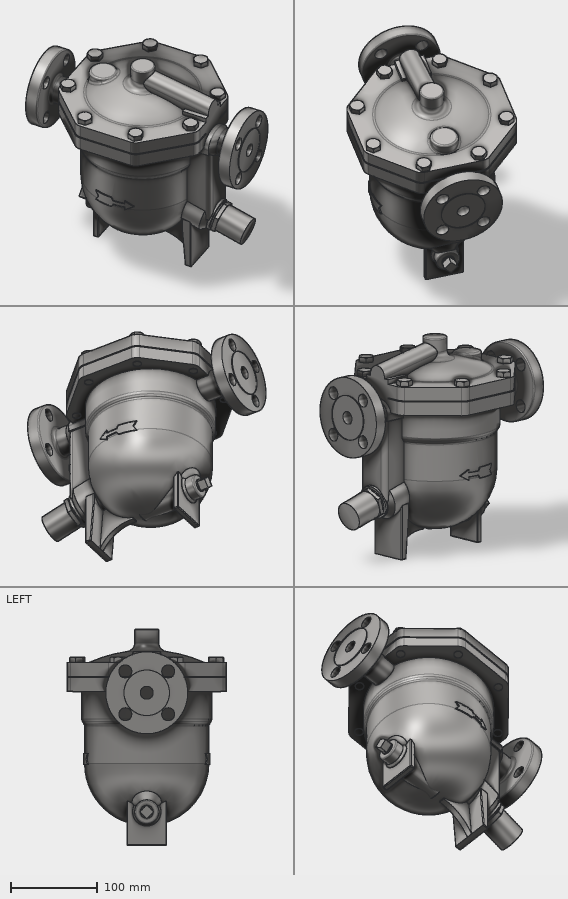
import cadquery as cq
import math

bowl_radius = 72.2
bowl_center_z = 95.0
rim_radius = 75.7
rim_bottom_z = 146.8
rim_bevel_top_radius = 74.6
rim_bevel_top_z = 143.5
rim_bevel_bottom_radius = 73.3
rim_bevel_bottom_z = 141.0
rim_step_z = 138.7

joint_bottom_z = 178.7
joint_top_z = 212.2
joint_apothem = 185.0 / 2
joint_corner_radius = 12.8
joint_left_x = -90.2
gasket_thickness = 1.0
gasket_inset = 0.5

bolt_count = 8
bolt_circle_radius = 87.2
bolt_head_flats = 16.0
bolt_head_height = 6.3
bolt_head_chamfer = 1.0
bolt_head_turn = -7.5
bolt_shank_diameter = 10.0
bolt_shank_projection = 0.8

dome_sphere_radius = 163.5
dome_apex_z = 226.6
dome_edge_radius = 66.2
dome_buried_radius = 73.5
dome_foot_radius = 68.6

top_z = 251.0
neck_radius = 28.0 / 2
neck_flare_radius = 23.0
neck_flare_top_z = 235.0
neck_edge_round = 1.4

boss_x = -51.8
boss_radius = 33.0 / 2
boss_top_z = 225.0
boss_edge_round = 2.5
boss_flare = 3.3
boss_edge_margin = 1.4

vent_radius = 12.0
vent_angle = 10.0
vent_end_x = joint_apothem
vent_end_axis_z = 219.0
vent_wall_depth = 11.0
vent_length = 1.2 * vent_end_x
vent_pad_start_x = 61.3
vent_pad_half_width = 17.7
vent_pad_top_z = 217.6

port_z = 177.0
pipe_radius = 33.0 / 2
pipe_buried_x = 54.5
pipe_flange_fillet = 3.8
flange_radius = 95.0 / 2
flange_thickness = 15.3
flange_edge_round = 1.4
raised_face_radius = 26.5
raised_face_height = 1.0
flange_hole_count = 4
flange_bolt_circle_radius = 35.1
flange_hole_diameter = 15.0
inlet_face_x = -130.0
outlet_face_x = 140.3
bore_diameter = 15.0
bore_end_x = 90.0

duct_half_width = 23.0
duct_start_x = 40.9
duct_end_x = 98.3
duct_bottom_z = 169.5
duct_transition_length = 7.5
column_half_width = 20.7
column_end_x = 100.2
column_bottom_z = 73.5
column_edge_round = 6.0

branch_angle = 15.0
branch_pipe_radius = 34.0 / 2
branch_end_center_z = 58.5
branch_max_x = 272.5 + inlet_face_x
branch_barrel_radius = 25.3
branch_length = 109.0
branch_barrel_setback = 51.0
branch_cone_setback = 44.5
branch_cone_radius = 19.0
branch_ring_setback = 40.9
branch_ring_radius = 20.2
branch_nut_setback = 38.7
branch_nut_length = 5.2
branch_nut_flats = 34.5

drain_z = 39.0
drain_end_x = -67.8
drain_boss_radius = 28.0 / 2
drain_boss_end_x = -56.7
drain_pipe_radius = 33.0 / 2
drain_pipe_start_x = -53.7
drain_pipe_end_x = 11.0
drain_end_round = 1.4
drain_flare_elevation = 40.0
drain_flare_base_radius = 17.2
drain_flare_tip_radius = 8.7
drain_flare_base_depth = 2.2
drain_flare_height = 9.0
plug_neck_diameter = 15.0
plug_neck_end_x = -69.5
plug_end_x = -79.5
plug_square_side = 11.5

foot_half_width = 46.3 / 2
foot_edge_chamfer = 1.0
left_foot_x = -53.0
left_foot_thickness = 7.0
left_foot_top_z = 60.0
right_foot_inner_x = 67.5
right_foot_outer_x = 75.2
right_foot_shoulder_x = 63.2
right_foot_shoulder_z = 53.7
right_foot_top_z = 66.7
web_thickness = 6.8
web_start_x = 21.8
web_start_z = 24.5
web_middle_x = 48.5
web_middle_z = 19.0

arrow_z = 100.2
arrow_relief_radius = 73.5
arrow_half_length = 25.0
arrow_half_height = 6.5
arrow_shaft_half_height = 2.6
arrow_tail_notch = 4.0
arrow_tail_end_x = -2.5
arrow_shaft_start_x = -0.3
arrow_head_start_x = 14.2


def cylinder_x(radius, start_x, end_x, z):
    """Cylinder along X at Y = 0."""
    plane = cq.Plane(origin=(start_x, 0, z), xDir=(0, 1, 0), normal=(1, 0, 0))
    return cq.Workplane(plane).circle(radius).extrude(end_x - start_x)


def box_between(x_range, y_half, z_range):
    """Box symmetric about Y = 0."""
    size_x = x_range[1] - x_range[0]
    size_z = z_range[1] - z_range[0]
    box = cq.Workplane("XY").box(size_x, 2 * y_half, size_z, centered=(False, True, False))
    return box.translate((x_range[0], 0, z_range[0]))


def make_bowl():
    """Solid of revolution: hemispherical bottom, straight wall and thicker rim."""
    diagonal = bowl_radius * math.sqrt(0.5)
    return (
        cq.Workplane("YZ")
        .moveTo(0, bowl_center_z - bowl_radius)
        .threePointArc((diagonal, bowl_center_z - diagonal), (bowl_radius, bowl_center_z))
        .lineTo(bowl_radius, rim_step_z)
        .tangentArcPoint((rim_bevel_bottom_radius, rim_bevel_bottom_z), relative=False)
        .lineTo(rim_bevel_top_radius, rim_bevel_top_z)
        .tangentArcPoint((rim_radius, rim_bottom_z), relative=False)
        .lineTo(rim_radius, joint_bottom_z)
        .lineTo(0, joint_bottom_z)
        .close()
        .revolve(360, (0, 0, 0), (0, 1, 0))
    )


def octagon_plate(inset, z_range):
    """Rounded octagon slab, trimmed on the inlet side."""
    apothem = joint_apothem - inset
    height = z_range[1] - z_range[0]
    plate = (
        cq.Workplane("XY")
        .polygon(8, 2 * apothem / math.cos(math.pi / 8))
        .extrude(height)
        .rotate((0, 0, 0), (0, 0, 1), 22.5)
        .translate((0, 0, z_range[0]))
    )
    plate = plate.intersect(box_between((joint_left_x + inset, apothem), apothem, z_range))
    return plate.edges("|Z").fillet(joint_corner_radius)


def make_joint():
    """Body and cover flanges with the recessed gasket between them."""
    middle_z = (joint_bottom_z + joint_top_z) / 2
    gasket_bottom_z = middle_z - gasket_thickness / 2
    gasket_top_z = middle_z + gasket_thickness / 2
    lower = octagon_plate(0, (joint_bottom_z, gasket_bottom_z))
    gasket = octagon_plate(gasket_inset, (gasket_bottom_z, gasket_top_z))
    upper = octagon_plate(0, (gasket_top_z, joint_top_z))
    return lower.union(gasket).union(upper)


def make_bolts():
    """Ring of hexagon bolts whose shank ends show below the joint."""
    corner_diameter = bolt_head_flats / math.cos(math.pi / 6)
    head = (
        cq.Workplane("XY")
        .polygon(6, corner_diameter)
        .extrude(bolt_head_height)
        .rotate((0, 0, 0), (0, 0, 1), bolt_head_turn)
    )
    head_limit = (
        cq.Workplane("XY")
        .circle(corner_diameter / 2)
        .extrude(bolt_head_height)
        .faces(">Z")
        .chamfer(bolt_head_chamfer)
    )
    shank_length = joint_top_z - joint_bottom_z + bolt_shank_projection
    shank = cq.Workplane("XY").circle(bolt_shank_diameter / 2).extrude(-shank_length)
    bolt = head.intersect(head_limit).union(shank).translate((bolt_circle_radius, 0, joint_top_z))
    bolts = cq.Workplane("XY")
    for index in range(bolt_count):
        angle = (index + 0.5) * 360 / bolt_count
        bolts = bolts.add(bolt.rotate((0, 0, 0), (0, 0, 1), angle))
    return bolts.combine()


def dome_height(radius):
    """Z of the spherical dome at a distance from the axis."""
    return dome_apex_z - dome_sphere_radius + math.sqrt(dome_sphere_radius**2 - radius**2)


def make_dome():
    """Cover dome with its flared central neck and the blended round boss beside it."""
    middle_radius = (neck_flare_radius + dome_buried_radius) / 2
    dome = (
        cq.Workplane("YZ")
        .moveTo(0, joint_bottom_z)
        .lineTo(0, top_z)
        .lineTo(neck_radius, top_z)
        .lineTo(neck_radius, neck_flare_top_z)
        .tangentArcPoint((neck_flare_radius, dome_height(neck_flare_radius)), relative=False)
        .threePointArc(
            (middle_radius, dome_height(middle_radius)),
            (dome_buried_radius, dome_height(dome_buried_radius)),
        )
        .lineTo(dome_buried_radius, joint_bottom_z)
        .close()
        .revolve(360, (0, 0, 0), (0, 1, 0))
    )
    dome = dome.faces(">Z").edges().fillet(neck_edge_round)
    boss = (
        cq.Workplane("XY")
        .circle(boss_radius)
        .extrude(boss_top_z - joint_bottom_z)
        .faces(">Z")
        .edges()
        .fillet(boss_edge_round)
        .translate((boss_x, 0, joint_bottom_z))
    )
    dome = dome.union(boss)
    reach = boss_radius + boss_edge_margin
    boss_foot = cq.selectors.BoxSelector(
        (boss_x - reach, -reach, joint_bottom_z + boss_edge_margin),
        (boss_x + reach, reach, boss_top_z - boss_edge_round),
    )
    return dome.edges(boss_foot).fillet(boss_flare)


def make_dome_edge():
    """Sloped ring blending the dome into the flat top of the cover flange."""
    return (
        cq.Workplane("YZ")
        .moveTo(dome_edge_radius, joint_bottom_z)
        .lineTo(dome_edge_radius, dome_height(dome_edge_radius))
        .lineTo(dome_foot_radius, joint_top_z)
        .lineTo(dome_foot_radius, joint_bottom_z)
        .close()
        .revolve(360, (0, 0, 0), (0, 1, 0))
    )


def make_vent():
    """Inclined round-topped passage from the neck to the outlet side, on a flat pad."""
    slope = math.radians(vent_angle)
    origin = (0, 0, vent_end_axis_z + vent_end_x * math.tan(slope))
    section = cq.Plane(origin=origin, xDir=(0, 1, 0), normal=(math.cos(slope), 0, -math.sin(slope)))
    passage = (
        cq.Workplane(section)
        .moveTo(-vent_radius, 0)
        .threePointArc((0, vent_radius), (vent_radius, 0))
        .lineTo(vent_radius, -vent_wall_depth)
        .lineTo(-vent_radius, -vent_wall_depth)
        .close()
        .extrude(vent_length)
    )
    passage = passage.intersect(box_between((0, vent_end_x), joint_apothem, (joint_bottom_z, top_z)))
    pad = box_between((vent_pad_start_x, vent_end_x), vent_pad_half_width, (joint_bottom_z, vent_pad_top_z))
    return passage.union(pad)


def make_flanged_pipe(face_x, inner_x):
    """Pipe along X ending in a raised-face flange at face_x."""
    outward = math.copysign(1, face_x)
    flange_front = face_x - outward * raised_face_height
    flange_back = flange_front - outward * flange_thickness
    flange = cylinder_x(flange_radius, flange_back, flange_front, port_z)
    back_side = "<X" if outward > 0 else ">X"
    flange = flange.faces(back_side).edges().fillet(flange_edge_round)
    port = flange.union(cylinder_x(pipe_radius, inner_x, flange_back, port_z))
    neck_edges = cq.selectors.BoxSelector(
        (flange_back - 0.3, -flange_radius / 2, port_z - flange_radius / 2),
        (flange_back + 0.3, flange_radius / 2, port_z + flange_radius / 2),
        boundingbox=True,
    )
    port = port.edges(neck_edges).fillet(pipe_flange_fillet)
    return port.union(cylinder_x(raised_face_radius, flange_front, face_x, port_z))


def cut_port_holes(part, face_x):
    """Flow bore and bolt holes of one flange."""
    outward = math.copysign(1, face_x)
    part = part.cut(cylinder_x(bore_diameter / 2, outward * bore_end_x, face_x, port_z))
    hole_end_x = face_x - outward * (raised_face_height + flange_thickness)
    hole = cylinder_x(flange_hole_diameter / 2, hole_end_x, face_x, port_z + flange_bolt_circle_radius)
    for index in range(flange_hole_count):
        angle = (index + 0.5) * 360 / flange_hole_count
        part = part.cut(hole.rotate((0, 0, port_z), (1, 0, port_z), angle))
    return part


def make_outlet_duct():
    """Round-topped duct blending into the outlet pipe, and the upright column below it."""
    duct_plane = cq.Plane(origin=(0, 0, port_z), xDir=(0, 1, 0), normal=(1, 0, 0))
    duct = (
        cq.Workplane(duct_plane)
        .workplane(offset=duct_start_x)
        .moveTo(duct_half_width, 0)
        .ellipseArc(duct_half_width, pipe_radius, 0, 180, startAtCurrent=True)
        .lineTo(-duct_half_width, duct_bottom_z - port_z)
        .lineTo(duct_half_width, duct_bottom_z - port_z)
        .close()
        .extrude(duct_end_x - duct_start_x)
    )
    transition = (
        cq.Workplane(duct_plane)
        .workplane(offset=duct_end_x)
        .ellipse(duct_half_width, pipe_radius)
        .workplane(offset=duct_transition_length)
        .circle(pipe_radius)
        .loft(combine=True)
    )
    column = box_between((duct_start_x, column_end_x), column_half_width, (column_bottom_z, port_z))
    column = column.edges("|Z and >X").fillet(column_edge_round)
    return duct.union(transition).union(column)


def make_branch():
    """Inclined outlet branch: barrel, cone, ring, hexagon nut and pipe end."""
    profile = [
        (0, 0),
        (branch_pipe_radius, 0),
        (branch_pipe_radius, branch_ring_setback),
        (branch_ring_radius, branch_ring_setback),
        (branch_ring_radius, branch_cone_setback),
        (branch_cone_radius, branch_cone_setback),
        (branch_barrel_radius, branch_barrel_setback),
        (branch_barrel_radius, branch_length),
        (0, branch_length),
    ]
    turned = cq.Workplane("XZ").polyline(profile).close().revolve(360, (0, 0, 0), (0, 1, 0))
    nut = (
        cq.Workplane("XY")
        .workplane(offset=branch_nut_setback - branch_nut_length)
        .polygon(6, branch_nut_flats / math.cos(math.pi / 6))
        .extrude(branch_nut_length)
    )
    end_x = branch_max_x - branch_pipe_radius * math.sin(math.radians(branch_angle))
    branch = turned.union(nut).rotate((0, 0, 0), (0, 1, 0), branch_angle - 90)
    return branch.translate((end_x, 0, branch_end_center_z))


def make_drain_pipe():
    """Stepped drain pipe running out of the bottom of the bowl."""
    pipe = cylinder_x(drain_pipe_radius, drain_pipe_start_x, drain_pipe_end_x, drain_z)
    boss = cylinder_x(drain_boss_radius, drain_end_x, 0, drain_z)
    boss = boss.faces("<X").edges().fillet(drain_end_round)
    cone = (
        cq.Workplane("XZ")
        .moveTo(drain_boss_end_x, 0)
        .lineTo(drain_boss_end_x, drain_boss_radius)
        .lineTo(drain_pipe_start_x, drain_pipe_radius)
        .lineTo(drain_pipe_start_x, 0)
        .close()
        .revolve(360, (0, 0, 0), (1, 0, 0))
        .translate((0, 0, drain_z))
    )
    return boss.union(cone).union(pipe)


def make_drain_flare():
    """Conical web square to the bowl wall, filling the corner above the drain boss."""
    base_distance = bowl_radius - drain_flare_base_depth
    flare = (
        cq.Workplane("XZ")
        .moveTo(-base_distance, 0)
        .lineTo(-base_distance, drain_flare_base_radius)
        .lineTo(-base_distance - drain_flare_height, drain_flare_tip_radius)
        .lineTo(-base_distance - drain_flare_height, 0)
        .close()
        .revolve(360, (0, 0, 0), (1, 0, 0))
    )
    flare = flare.rotate((0, 0, 0), (0, 1, 0), -drain_flare_elevation)
    return flare.translate((0, 0, bowl_center_z))


def make_drain_plug():
    """Round neck and square head, the square standing on its corner."""
    neck = cylinder_x(plug_neck_diameter / 2, plug_neck_end_x, drain_end_x, drain_z)
    head_plane = cq.Plane(origin=(plug_end_x, 0, drain_z), xDir=(0, 1, 1), normal=(1, 0, 0))
    head = (
        cq.Workplane(head_plane)
        .rect(plug_square_side, plug_square_side)
        .extrude(plug_neck_end_x - plug_end_x)
    )
    return neck.union(head)


def make_left_foot():
    """Flat foot under the drain pipe."""
    foot = box_between(
        (left_foot_x, left_foot_x + left_foot_thickness), foot_half_width, (0, left_foot_top_z)
    )
    return foot.edges("|Z or <Z").chamfer(foot_edge_chamfer)


def make_right_foot():
    """Tapered foot under the branch, with an arched web back to the bowl."""
    foot = (
        cq.Workplane("XZ")
        .moveTo(right_foot_inner_x, 0)
        .lineTo(right_foot_outer_x, 0)
        .lineTo(right_foot_outer_x, right_foot_top_z)
        .lineTo(right_foot_shoulder_x, right_foot_top_z)
        .lineTo(right_foot_shoulder_x, right_foot_shoulder_z)
        .close()
        .extrude(foot_half_width, both=True)
    )
    foot = foot.faces("<Y or >Y").edges().chamfer(foot_edge_chamfer)
    web = (
        cq.Workplane("XZ")
        .moveTo(web_start_x, web_start_z)
        .threePointArc((web_middle_x, web_middle_z), (right_foot_inner_x, 0))
        .lineTo(right_foot_inner_x, right_foot_top_z)
        .lineTo(web_start_x, right_foot_top_z)
        .close()
        .extrude(web_thickness / 2, both=True)
    )
    return foot.union(web)


def make_arrows():
    """Raised flow arrows on the front and back of the body, pointing to the outlet."""
    upper_half = [
        (-arrow_half_length, arrow_half_height),
        (arrow_tail_end_x, arrow_half_height),
        (arrow_shaft_start_x, arrow_shaft_half_height),
        (arrow_head_start_x, arrow_shaft_half_height),
        (arrow_head_start_x, arrow_half_height),
        (arrow_half_length, 0),
    ]
    lower_half = [(x, -z) for x, z in reversed(upper_half[:-1])]
    notch = [(arrow_tail_notch - arrow_half_length, 0)]
    arrows = (
        cq.Workplane("XZ", origin=(0, 0, arrow_z))
        .polyline(upper_half + lower_half + notch)
        .close()
        .extrude(rim_radius, both=True)
    )
    return arrows.intersect(cq.Workplane("XY").circle(arrow_relief_radius).extrude(rim_step_z))


result = make_bowl()
for feature in (
    make_outlet_duct(),
    make_flanged_pipe(outlet_face_x, duct_end_x + duct_transition_length),
    make_branch(),
    make_drain_pipe(),
    make_drain_flare(),
    make_drain_plug(),
    make_left_foot(),
    make_right_foot(),
    make_flanged_pipe(inlet_face_x, -pipe_buried_x),
    make_arrows(),
    make_dome(),
    make_dome_edge(),
    make_vent(),
    make_joint(),
    make_bolts(),
):
    result = result.union(feature)
result = cut_port_holes(result, inlet_face_x)
result = cut_port_holes(result, outlet_face_x)